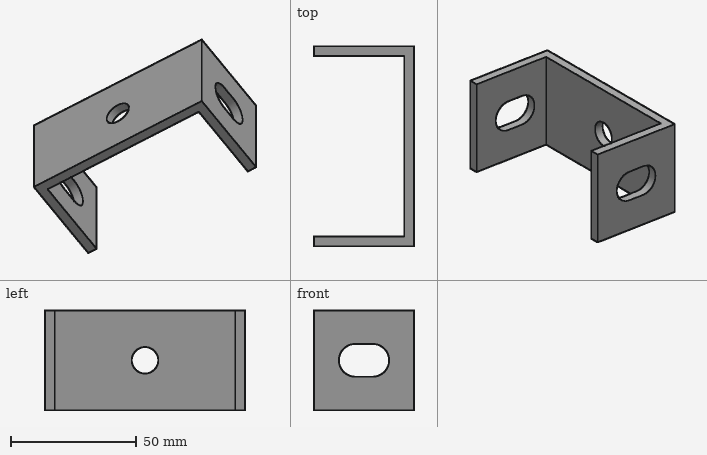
import cadquery as cq

depth = 40.0
width = 80.0
height = 40.0
thickness = 4.0

slot_length = 20.0
slot_height = 13.0
web_hole_diameter = 10.5


def make_channel():
    """Web on the +X side with two flanges reaching toward -X."""
    block = cq.Workplane("XY").box(depth, width, height)
    cavity = (
        cq.Workplane("XY")
        .box(depth - thickness, width - 2 * thickness, height)
        .translate((-thickness / 2, 0, 0))
    )
    return block.cut(cavity)


def make_flange_slots():
    """Cutter for the round-ended slots centred in both flanges."""
    return (
        cq.Workplane("XZ")
        .slot2D(slot_length, slot_height)
        .extrude(width / 2, both=True)
    )


def make_web_hole():
    """Cutter for the round hole centred in the web."""
    return (
        cq.Workplane("YZ")
        .circle(web_hole_diameter / 2)
        .extrude(depth / 2)
    )


result = make_channel().cut(make_flange_slots()).cut(make_web_hole())